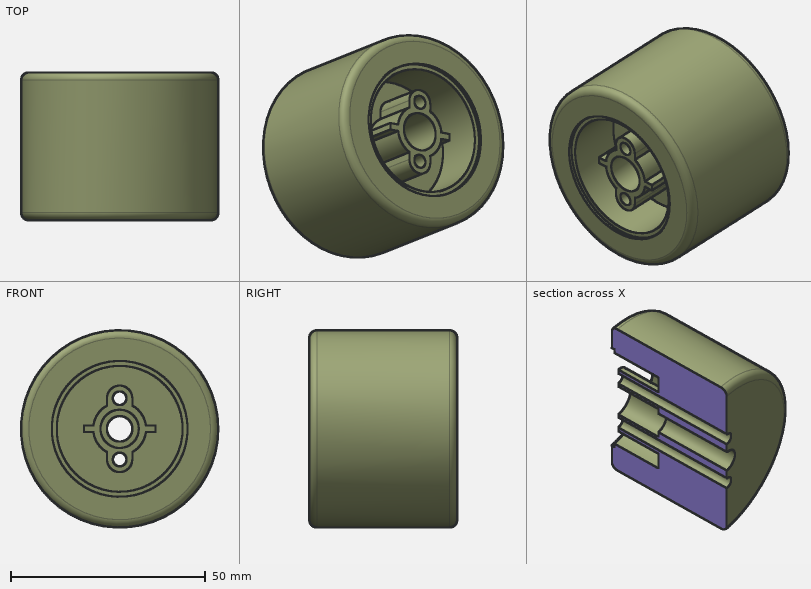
import cadquery as cq

wheel_diameter = 50.8
wheel_width = 38.1
edge_radius = 2.05
front_y = -wheel_width / 2

rim_step_diameter = 34.95
rim_step_depth = 0.9
pocket_diameter = 32.4
pocket_depth = 15.5

hub_diameter = 13.6
hub_face_depth = 2.3
lug_diameter = 6.5
lug_offset = 7.85
lug_hole_diameter = 3.45
rib_span = 18.4
rib_thickness = 1.75

bore_diameter = 6.5
counterbore_diameter = 9.85
counterbore_depth = pocket_depth


def plane_at(depth):
    """Sketch plane parallel to the front face, extruding toward +Y."""
    return cq.Workplane(
        cq.Plane(origin=(0, front_y + depth, 0), xDir=(1, 0, 0), normal=(0, 1, 0))
    )


def cylinder(diameter, start, end):
    """Cylinder on the wheel axis between two depths."""
    return plane_at(start).circle(diameter / 2).extrude(end - start)


def make_body():
    body = cylinder(wheel_diameter, 0, wheel_width).edges().fillet(edge_radius)
    body = body.cut(cylinder(rim_step_diameter, 0, rim_step_depth))
    return body.cut(cylinder(pocket_diameter, 0, pocket_depth))


def make_hub():
    hub_length = pocket_depth - hub_face_depth
    hub = cylinder(hub_diameter, hub_face_depth, pocket_depth)
    lugs = (
        plane_at(hub_face_depth)
        .slot2D(2 * lug_offset + lug_diameter, lug_diameter, 90)
        .extrude(hub_length)
    )
    ribs = plane_at(hub_face_depth).rect(rib_span, rib_thickness).extrude(hub_length)
    return hub.union(lugs).union(ribs)


def make_holes():
    lug_holes = (
        plane_at(0)
        .pushPoints([(0, lug_offset), (0, -lug_offset)])
        .circle(lug_hole_diameter / 2)
        .extrude(wheel_width)
    )
    bore = cylinder(bore_diameter, 0, wheel_width)
    counterbore = cylinder(counterbore_diameter, 0, counterbore_depth)
    return lug_holes.union(bore).union(counterbore)


result = make_body().union(make_hub()).cut(make_holes())